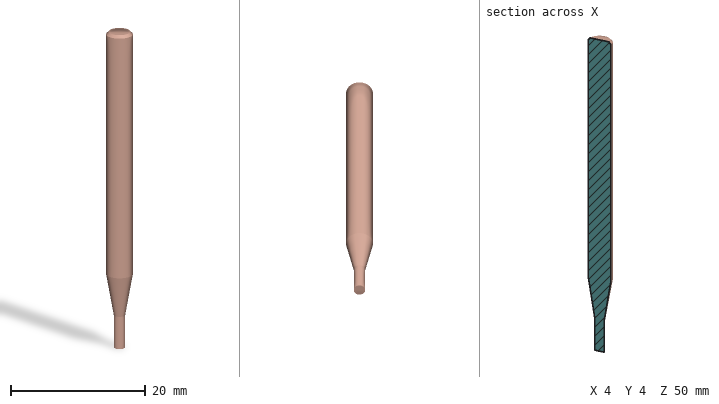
import cadquery as cq
import math

TOTAL_LENGTH = 50.0
SHANK_DIAMETER = 4.0
TIP_DIAMETER = 1.7
TIP_LENGTH = 5.1
TAPER_HALF_ANGLE = 10.0
END_CHAMFER = 0.4

shank_radius = SHANK_DIAMETER / 2
tip_radius = TIP_DIAMETER / 2
taper_length = (shank_radius - tip_radius) / math.tan(math.radians(TAPER_HALF_ANGLE))
shank_start = TIP_LENGTH + taper_length


def turned_body():
    """Tip, taper and chamfered shank, revolved about Z with the tip face at Z = 0."""
    half_profile = (
        cq.Workplane("XZ")
        .lineTo(tip_radius, 0)
        .lineTo(tip_radius, TIP_LENGTH)
        .lineTo(shank_radius, shank_start)
        .lineTo(shank_radius, TOTAL_LENGTH - END_CHAMFER)
        .lineTo(shank_radius - END_CHAMFER, TOTAL_LENGTH)
        .lineTo(0, TOTAL_LENGTH)
        .close()
    )
    return half_profile.revolve(360, (0, 0, 0), (0, 1, 0))


result = turned_body()